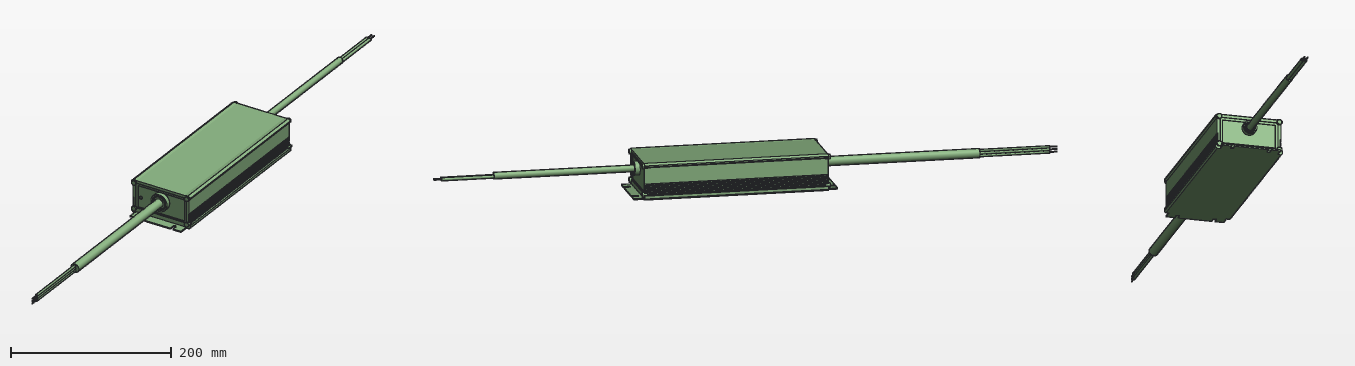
import cadquery as cq


TOTAL_LENGTH = 793.0
CABLE_TIP_Y = TOTAL_LENGTH / 2

HOUSING_REAR_Y = 137.0
HOUSING_FRONT_Y = -97.0
HOUSING_HEIGHT = 47.0
HOUSING_WIDTH = 86.5
LIP_HALF_WIDTH = HOUSING_WIDTH / 2
SIDE_HALF_WIDTH = 41.0
FOOT_HALF_WIDTH = 41.0
RIDGE_HALF_WIDTH = 40.0
TOP_FLAT_HALF_WIDTH = 35.0
TOP_FLAT_Z = 46.0
TOP_LIP_Z = (41.0, 43.0, 44.5)
BOTTOM_LIP_Z = (2.0, 5.5, 6.0)

GROOVE_COUNT = 5
GROOVE_FIRST_Z = 7.0
GROOVE_PITCH = 2.9
GROOVE_WIDTH = 1.5
GROOVE_DEPTH = 1.0

PANEL_SEAT = (37.0, 7.0, 42.0, 1.0)
PANEL = (34.0, 9.0, 39.0, 1.5)
SEAL_HOLE_X = -31.0
SEAL_HOLE_Z = 22.0
SEAL_HOLE_DIAMETER = 4.0
SEAL_HOLE_DEPTH = 3.0

SCREW_X = 39.0
SCREW_Z = (6.0, 43.0)
SCREW_DIAMETER = 6.0
SCREW_HEAD_HEIGHT = 2.0

PLATE_WIDTH = 74.5
PLATE_THICKNESS = 1.5
PLATE_OVERHANG = 13.0
SLOT_X = 24.0
SLOT_WIDTH = 4.0
SLOT_LENGTH = 9.0

FRONT_GLAND_DIAMETER = 24.0
REAR_GLAND_DIAMETER = 17.5
GLAND_LENGTH = 5.0
GLAND_RIM_WIDTH = 2.0
GLAND_RECESS_WIDTH = 1.5
GLAND_RECESS_DEPTH = 1.5
FRONT_CABLE_DIAMETER = 12.0
FRONT_CABLE_Z = 27.0
FRONT_JACKET_END_Y = -297.5
REAR_CABLE_DIAMETER = 9.0
REAR_CABLE_Z = 31.0
REAR_JACKET_END_Y = 320.5
FRONT_WIRE_DIAMETER = 3.0
REAR_WIRE_DIAMETER = 4.0
REAR_WIRE_DROP = 1.0
WIRE_GAP = 0.15
CONDUCTOR_DIAMETER = 1.2
STRIPPED_LENGTH = 9.5
EMBED = 4.0


def rod(diameter, x, z, y_start, y_end):
    """Round bar parallel to Y."""
    plane = cq.Workplane("XZ", origin=(x, y_start, z))
    return plane.circle(diameter / 2).extrude(y_start - y_end)


def block(x_size, x_center, y_start, y_end, z_start, z_end):
    """Box centred on x_center, spanning the given Y and Z ranges."""
    box = cq.Workplane("XY").box(x_size, y_end - y_start, z_end - z_start)
    return box.translate((x_center, (y_start + y_end) / 2, (z_start + z_end) / 2))


def housing_profile():
    """Right half of the extrusion section, from the bottom centre up to the top flat."""
    points = [
        (0, 0),
        (FOOT_HALF_WIDTH, 0),
        (LIP_HALF_WIDTH, BOTTOM_LIP_Z[0]),
        (LIP_HALF_WIDTH, BOTTOM_LIP_Z[1]),
        (SIDE_HALF_WIDTH, BOTTOM_LIP_Z[2]),
    ]
    for index in range(GROOVE_COUNT):
        low = GROOVE_FIRST_Z + index * GROOVE_PITCH
        high = low + GROOVE_WIDTH
        floor = SIDE_HALF_WIDTH - GROOVE_DEPTH
        points += [(SIDE_HALF_WIDTH, low), (floor, low), (floor, high), (SIDE_HALF_WIDTH, high)]
    points += [
        (SIDE_HALF_WIDTH, TOP_LIP_Z[0]),
        (LIP_HALF_WIDTH, TOP_LIP_Z[1]),
        (LIP_HALF_WIDTH, TOP_LIP_Z[2]),
        (RIDGE_HALF_WIDTH, HOUSING_HEIGHT),
        (TOP_FLAT_HALF_WIDTH, TOP_FLAT_Z),
        (0, TOP_FLAT_Z),
    ]
    return points


def make_housing():
    plane = cq.Workplane("XZ", origin=(0, HOUSING_REAR_Y, 0))
    half = plane.polyline(housing_profile()).close().extrude(HOUSING_REAR_Y - HOUSING_FRONT_Y)
    body = half.union(half.mirror("YZ"))
    for half_width, bottom, top, depth in (PANEL_SEAT, PANEL):
        width = 2 * half_width
        body = body.cut(block(width, 0, HOUSING_FRONT_Y, HOUSING_FRONT_Y + depth, bottom, top))
        body = body.cut(block(width, 0, HOUSING_REAR_Y - depth, HOUSING_REAR_Y, bottom, top))
    seal_hole_end = HOUSING_FRONT_Y + SEAL_HOLE_DEPTH
    return body.cut(rod(SEAL_HOLE_DIAMETER, SEAL_HOLE_X, SEAL_HOLE_Z, HOUSING_FRONT_Y, seal_hole_end))


def add_screws(body):
    for x in (-SCREW_X, SCREW_X):
        for z in SCREW_Z:
            for face_y, outward in ((HOUSING_FRONT_Y, -1), (HOUSING_REAR_Y, 1)):
                start = face_y - outward * EMBED
                end = face_y + outward * SCREW_HEAD_HEIGHT
                body = body.union(rod(SCREW_DIAMETER, x, z, start, end))
    return body


def make_mounting_plate():
    front = HOUSING_FRONT_Y - PLATE_OVERHANG
    rear = HOUSING_REAR_Y + PLATE_OVERHANG
    plate = block(PLATE_WIDTH, 0, front, rear, 0, PLATE_THICKNESS)
    slot_radius = SLOT_WIDTH / 2
    for end_y, inward in ((front, 1), (rear, -1)):
        for x in (-SLOT_X, SLOT_X):
            round_y = end_y + inward * (SLOT_LENGTH - slot_radius)
            y_range = sorted((end_y, round_y))
            plate = plate.cut(block(SLOT_WIDTH, x, *y_range, 0, PLATE_THICKNESS))
            round_end = cq.Workplane("XY").center(x, round_y).circle(slot_radius)
            plate = plate.cut(round_end.extrude(PLATE_THICKNESS))
    return plate


def make_gland(face_y, outward, diameter, axis_z):
    """Cable gland with a ring-shaped recess in its outer face."""
    end_y = face_y + outward * GLAND_LENGTH
    floor_y = end_y - outward * GLAND_RECESS_DEPTH
    recess_diameter = diameter - 2 * GLAND_RIM_WIDTH
    sleeve_diameter = recess_diameter - 2 * GLAND_RECESS_WIDTH
    gland = rod(diameter, 0, axis_z, face_y - outward * EMBED, end_y)
    gland = gland.cut(rod(recess_diameter, 0, axis_z, floor_y, end_y))
    return gland.union(rod(sleeve_diameter, 0, axis_z, floor_y - outward * GLAND_RECESS_DEPTH, end_y))


def make_cable(face_y, outward, diameter, axis_z, jacket_end_y, wire_diameter, wire_places):
    """Jacket and stripped wires; wire_places are the (x, z) points of the wire axes."""
    cable = rod(diameter, 0, axis_z, face_y - outward * EMBED, jacket_end_y)
    tip_y = outward * CABLE_TIP_Y
    insulation_end_y = tip_y - outward * STRIPPED_LENGTH
    for x, z in wire_places:
        cable = cable.union(rod(wire_diameter, x, z, jacket_end_y - outward * EMBED, insulation_end_y))
        cable = cable.union(rod(CONDUCTOR_DIAMETER, x, z, insulation_end_y - outward * EMBED, tip_y))
    return cable


front_wire_pitch = FRONT_WIRE_DIAMETER + WIRE_GAP
rear_wire_pitch = REAR_WIRE_DIAMETER + WIRE_GAP
front_wires = [(0, FRONT_CABLE_Z + step * front_wire_pitch) for step in (-1, 0, 1)]
rear_wires = [(side * rear_wire_pitch / 2, REAR_CABLE_Z - REAR_WIRE_DROP) for side in (-1, 1)]

front_gland = make_gland(HOUSING_FRONT_Y, -1, FRONT_GLAND_DIAMETER, FRONT_CABLE_Z)
rear_gland = make_gland(HOUSING_REAR_Y, 1, REAR_GLAND_DIAMETER, REAR_CABLE_Z)
front_cable = make_cable(
    HOUSING_FRONT_Y, -1, FRONT_CABLE_DIAMETER, FRONT_CABLE_Z,
    FRONT_JACKET_END_Y, FRONT_WIRE_DIAMETER, front_wires,
)
rear_cable = make_cable(
    HOUSING_REAR_Y, 1, REAR_CABLE_DIAMETER, REAR_CABLE_Z,
    REAR_JACKET_END_Y, REAR_WIRE_DIAMETER, rear_wires,
)

result = add_screws(make_housing())
for piece in (make_mounting_plate(), front_gland, rear_gland, front_cable, rear_cable):
    result = result.union(piece)